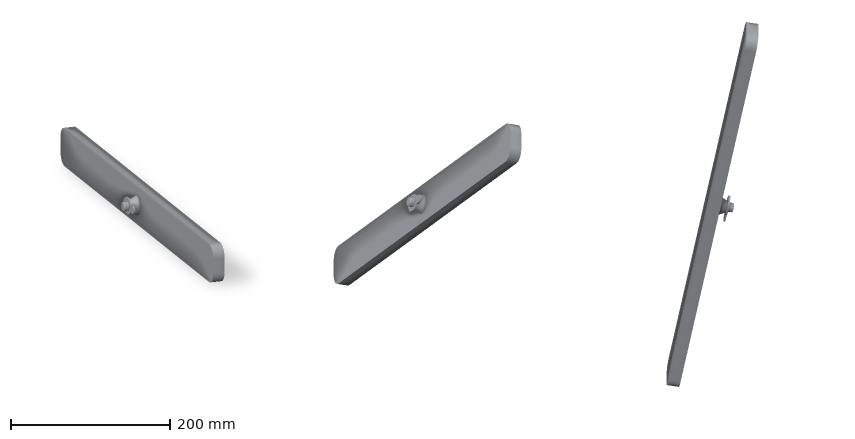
import cadquery as cq

plate_length = 540.0
plate_height = 50.0
plate_thickness = 15.0
corner_radius = 15.0

total_depth = 34.0
boss_base_radius = 12.5
boss_tip_radius = 7.5
boss_length = 10.0
cam_thickness = 2.0
cam_head_height = 21.0
cam_left_offset = 4.5
tab_reach = 21.5
tab_height = 10.0
tab_half_height = tab_height / 2
pin_radius = 6.0
pin_chamfer = 0.8
pin_length = total_depth - plate_thickness - boss_length - cam_thickness


def front_plane(depth):
    """Plane facing -Y, the given depth in front of the plate, with X right and Z up."""
    return cq.Workplane("XZ", origin=(0, -depth, 0))


def make_plate():
    bar = front_plane(0).rect(plate_length, plate_height).extrude(-plate_thickness)
    return bar.edges("|Y").fillet(corner_radius)


def make_cam():
    """Elongated round head with a narrow round-ended tab towards +X."""
    cam_plane = front_plane(boss_length)
    head = (
        cam_plane.center(-cam_left_offset / 2, 0)
        .slot2D(cam_left_offset + cam_head_height, cam_head_height)
        .extrude(cam_thickness)
    )
    tab_end_center = tab_reach - tab_half_height
    tab = (
        cam_plane.moveTo(0, -tab_half_height)
        .lineTo(tab_end_center, -tab_half_height)
        .threePointArc((tab_reach, 0), (tab_end_center, tab_half_height))
        .lineTo(0, tab_half_height)
        .close()
        .extrude(cam_thickness)
    )
    return head.union(tab)


def make_latch():
    boss = (
        front_plane(0).circle(boss_base_radius)
        .workplane(offset=boss_length).circle(boss_tip_radius)
        .loft()
    )
    pin = front_plane(boss_length + cam_thickness).circle(pin_radius).extrude(pin_length)
    pin = pin.faces("<Y").chamfer(pin_chamfer)
    return boss.union(make_cam()).union(pin)


plate = make_plate()
latch = make_latch()
result = cq.Compound.makeCompound([plate.val(), latch.val()])